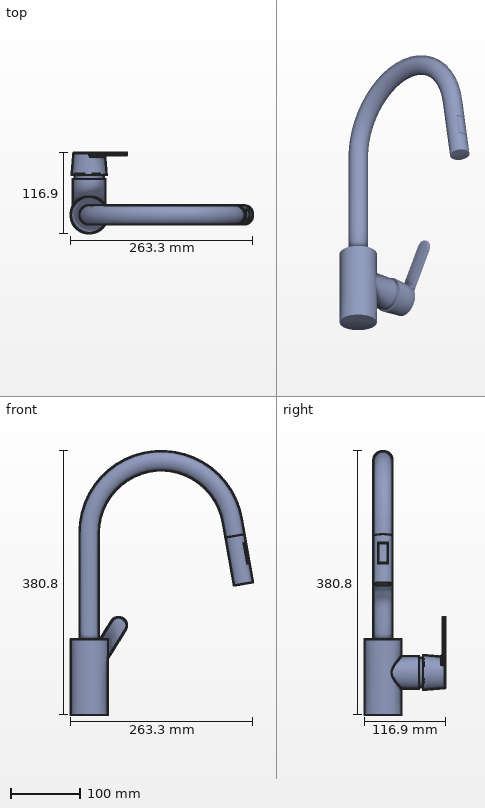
import cadquery as cq
import math

HOUSING_DIAMETER = 53.7
HOUSING_HEIGHT = 109.5
HOUSING_RIM_CHAMFER = 0.8
BRANCH_DIAMETER = 47.5
BRANCH_AXIS_Z = 61.3
BRANCH_END_Y = 51.8

COLLAR_DIAMETER = 43.0
COLLAR_LENGTH = 5.7

HANDLE_START_Y = BRANCH_END_Y + COLLAR_LENGTH
HANDLE_END_Y = 90.0
CAP_BASE_RADIUS = 25.5
CAP_END_RADIUS = 23.0
CAP_RIM_CHAMFER = 1.0
CAP_RECESS_RADIUS = 23.5
CAP_RECESS_DEPTH = 2.0
LEVER_ANGLE = 58
LEVER_REACH = 80.0
LEVER_WIDTH = 24.5
LEVER_THICKNESS = 4.0
LEVER_EDGE_CHAMFER = 0.8
LEVER_ROOT_FILLET = 4.0

SPOUT_DIAMETER = 28.0
SPOUT_TOP_Z = 380.8
BEND_RADIUS = 104.0
OUTLET_TILT = 10
OUTLET_LENGTH = 23.0

HEAD_LENGTH = 70.5
RECESS_START = 12.0
RECESS_LENGTH = 30.0
RECESS_WIDTH = 15.0
BUTTON_CLEARANCE = 0.8
RECESS_FLOOR = 10.3

BEND_CENTER_Z = SPOUT_TOP_Z - SPOUT_DIAMETER / 2 - BEND_RADIUS
TILT = math.radians(OUTLET_TILT)
OUTLET_DIRECTION = cq.Vector(math.sin(TILT), 0, -math.cos(TILT))
BEND_END = cq.Vector(
    BEND_RADIUS * (1 + math.cos(TILT)),
    0,
    BEND_CENTER_Z + BEND_RADIUS * math.sin(TILT),
)
OUTLET_END = BEND_END + OUTLET_DIRECTION * OUTLET_LENGTH


def plane_across_y(y):
    """Plane on the branch axis at distance y, facing +Y, with local x along +X and local y along -Z."""
    return cq.Plane(origin=(0, y, BRANCH_AXIS_Z), xDir=(1, 0, 0), normal=(0, 1, 0))


def make_housing():
    column = cq.Workplane("XY").circle(HOUSING_DIAMETER / 2).extrude(HOUSING_HEIGHT)
    column = column.faces(">Z").edges().chamfer(HOUSING_RIM_CHAMFER)
    branch = cq.Workplane(plane_across_y(0)).circle(BRANCH_DIAMETER / 2).extrude(BRANCH_END_Y)
    return column.union(branch)


def make_collar():
    return cq.Workplane(plane_across_y(BRANCH_END_Y)).circle(COLLAR_DIAMETER / 2).extrude(COLLAR_LENGTH)


def make_cap():
    """Cap on the branch axis, tapering towards its outer end, with a ring recess in its inner face."""
    profile = (
        cq.Workplane("XY", origin=(0, 0, BRANCH_AXIS_Z))
        .moveTo(0, HANDLE_START_Y)
        .lineTo(CAP_BASE_RADIUS, HANDLE_START_Y)
        .lineTo(CAP_END_RADIUS, HANDLE_END_Y)
        .lineTo(0, HANDLE_END_Y)
        .close()
    )
    cap = profile.revolve(360, (0, 0, 0), (0, 1, 0))
    cap = cap.faces(">Y").edges().chamfer(CAP_RIM_CHAMFER)
    recess = (
        cq.Workplane(plane_across_y(HANDLE_START_Y))
        .circle(CAP_RECESS_RADIUS)
        .circle(COLLAR_DIAMETER / 2)
        .extrude(CAP_RECESS_DEPTH)
    )
    return cap.cut(recess)


def make_lever_bar(reach, width, start_y, end_y):
    """Round-ended bar from the cap axis outwards at the lever angle."""
    bar = cq.Workplane(plane_across_y(start_y)).center(reach / 2, 0)
    bar = bar.rect(reach, width).extrude(end_y - start_y)
    tip = cq.Workplane(plane_across_y(start_y)).center(reach, 0)
    tip = tip.circle(width / 2).extrude(end_y - start_y)
    axis_start = (0, 0, BRANCH_AXIS_Z)
    axis_end = (0, -1, BRANCH_AXIS_Z)
    return bar.union(tip).rotate(axis_start, axis_end, LEVER_ANGLE)


def make_root_fillet(plate_y):
    """Concave fillet between the cap's side and the back of the lever, cut to the lever's width."""
    corner_radius = CAP_END_RADIUS + LEVER_ROOT_FILLET
    corner_y = plate_y - LEVER_ROOT_FILLET
    arc_offset = LEVER_ROOT_FILLET * (1 - math.sqrt(0.5))
    ring = (
        cq.Workplane("XY", origin=(0, 0, BRANCH_AXIS_Z))
        .moveTo(0, corner_y)
        .lineTo(CAP_END_RADIUS, corner_y)
        .threePointArc((CAP_END_RADIUS + arc_offset, plate_y - arc_offset), (corner_radius, plate_y))
        .lineTo(0, plate_y)
        .close()
        .revolve(360, (0, 0, 0), (0, 1, 0))
    )
    root_width = LEVER_WIDTH - 2 * LEVER_EDGE_CHAMFER
    return ring.intersect(make_lever_bar(LEVER_REACH, root_width, corner_y, plate_y))


def make_handle():
    plate_y = HANDLE_END_Y - LEVER_THICKNESS
    plate = make_lever_bar(LEVER_REACH, LEVER_WIDTH, plate_y, HANDLE_END_Y)
    plate = plate.faces("<Y").edges().chamfer(LEVER_EDGE_CHAMFER)
    return make_cap().union(plate).union(make_root_fillet(plate_y))


def make_spout():
    path = (
        cq.Workplane("XZ")
        .moveTo(0, HOUSING_HEIGHT)
        .lineTo(0, BEND_CENTER_Z)
        .threePointArc((BEND_RADIUS, BEND_CENTER_Z + BEND_RADIUS), (BEND_END.x, BEND_END.z))
        .lineTo(OUTLET_END.x, OUTLET_END.z)
    )
    section = cq.Workplane("XY", origin=(0, 0, HOUSING_HEIGHT)).circle(SPOUT_DIAMETER / 2)
    return section.sweep(path)


def head_plane(distance):
    """Plane across the head axis, local x towards the outer side of the bend."""
    origin = OUTLET_END + OUTLET_DIRECTION * distance
    return cq.Plane(origin=origin, xDir=(math.cos(TILT), 0, math.sin(TILT)), normal=OUTLET_DIRECTION)


def make_head_blank():
    return cq.Workplane(head_plane(0)).circle(SPOUT_DIAMETER / 2).extrude(HEAD_LENGTH)


def make_recess_block(inset):
    """Block from the recess floor out past the head surface, inset from the recess walls."""
    return (
        cq.Workplane(head_plane(RECESS_START + inset))
        .center(RECESS_FLOOR + SPOUT_DIAMETER / 2, 0)
        .rect(SPOUT_DIAMETER, RECESS_WIDTH - 2 * inset)
        .extrude(RECESS_LENGTH - 2 * inset)
    )


def make_spray_head():
    return make_head_blank().cut(make_recess_block(0))


def make_button():
    """Button standing on the recess floor, flush with the head, with a gap all round."""
    return make_head_blank().intersect(make_recess_block(BUTTON_CLEARANCE))


housing = make_housing()
collar = make_collar()
handle = make_handle()
spout = make_spout()
spray_head = make_spray_head()
button = make_button()

result = cq.Compound.makeCompound(
    [housing.val(), collar.val(), handle.val(), spout.val(), spray_head.val(), button.val()]
)